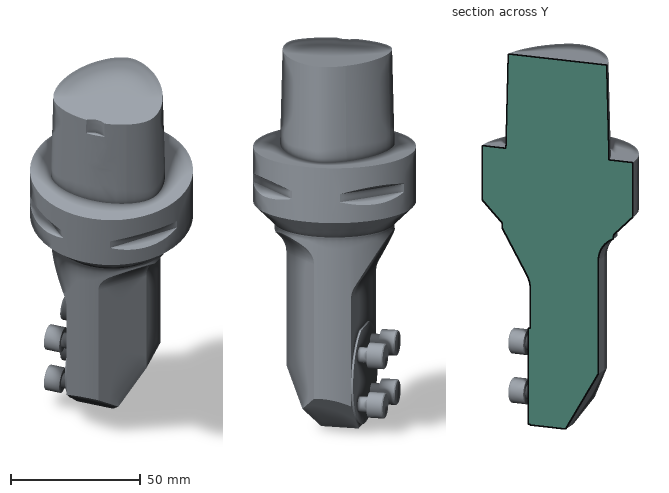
import math

import cadquery as cq


CUT_MARGIN = 1.0

SHANK_LENGTH = 38.0
SHANK_DIAMETER = 44.2
SHANK_LOBE_RISE = 1.6
SHANK_TAPER = 1 / 20
LOBE_HALF_ANGLE = 37.5
POINTS_PER_FACE = 9
LOBE_COUNT = 3
LOBE_DIRECTION = 90.0
LOBE_PITCH = 360 / LOBE_COUNT

NOTCH_RADIUS = 6.0
NOTCH_HEIGHT = 6.4
NOTCH_BOTTOM_Y = -18.1

FLANGE_DIAMETER = 63.0
FLANGE_HEIGHT = 22.0
NECK_DIAMETER = 46.5
COLLAR_DIAMETER = 47.0
COLLAR_HEIGHT = 0.4
CONE_HEIGHT = (FLANGE_DIAMETER - COLLAR_DIAMETER) / 2
CONE_BOTTOM_Z = -FLANGE_HEIGHT - CONE_HEIGHT
NECK_TOP_Z = CONE_BOTTOM_Z - COLLAR_HEIGHT
PART_BOTTOM_Z = -110.3

GROOVE_COUNT = 4
GROOVE_FIRST_ANGLE = 45.0
GROOVE_Z = -12.0
GROOVE_FLOOR_DISTANCE = 28.0
GROOVE_FLOOR_WIDTH = 3.2
GROOVE_WALL_ANGLE = 30.0

RELIEF_FILLET = 10.0
PLATE_FLAT_DISTANCE = 11.5
PLATE_FLAT_TOP_Z = -55.2
PLATE_FLAT_RUNOUT_ANGLE = 30.0
REAR_FLAT_TOP_Z = -41.1
REAR_FLAT_DISTANCE = 17.1
REAR_FLAT_RUNOUT_ANGLE = 60.0
DIAGONAL_FLAT_DISTANCE = 18.1
DIAGONAL_FLAT_RUNOUT_ANGLE = 45.0

TIP_HALF_WIDTH = 8.0
SIDE_BEVEL_ANGLE = 45.0
REAR_BEVEL_X = 3.4
REAR_BEVEL_ANGLE = 60.0

PLATE_DIAMETER = 40.0
PLATE_THICKNESS = 0.8
PLATE_CENTER_Z = -90.0
PLATE_TOP_Z = -71.2
SCREWS_PER_SIDE = 2
SCREW_SPACING = 19.8
SCREW_DIAMETER = 6.0
HEAD_DIAMETER = 10.0
HEAD_INNER_X = -16.3
HEAD_OUTER_X = -22.7
HEAD_CHAMFER = 0.4


def shank_point(angle, inset):
    """Point of the lobed outline whose outward normal lies at the given angle in degrees."""
    normal = math.radians(angle)
    phase = math.radians(LOBE_COUNT * (angle - LOBE_DIRECTION))
    support = SHANK_DIAMETER / 2 - inset + SHANK_LOBE_RISE * math.cos(phase)
    slope = -LOBE_COUNT * SHANK_LOBE_RISE * math.sin(phase)
    x = support * math.cos(normal) - slope * math.sin(normal)
    y = support * math.sin(normal) + slope * math.cos(normal)
    return x, y


def shank_outline(z, inset):
    """Closed outline of six smooth faces: three lobes and three flatter sides."""
    edges = []
    for lobe in range(LOBE_COUNT):
        tip = LOBE_DIRECTION + LOBE_PITCH * lobe
        seams = (tip - LOBE_HALF_ANGLE, tip + LOBE_HALF_ANGLE, tip + LOBE_PITCH - LOBE_HALF_ANGLE)
        for start, end in zip(seams, seams[1:]):
            step = (end - start) / (POINTS_PER_FACE - 1)
            points = [shank_point(start + step * i, inset) for i in range(POINTS_PER_FACE)]
            edges.append(cq.Edge.makeSpline([cq.Vector(x, y, z) for x, y in points]))
    return cq.Wire.assembleEdges(edges)


def make_shank():
    top_inset = SHANK_LENGTH * SHANK_TAPER / 2
    outlines = [shank_outline(0, 0), shank_outline(SHANK_LENGTH, top_inset)]
    shank = cq.Workplane(cq.Solid.makeLoft(outlines, True))
    notch = (
        cq.Workplane("XY", origin=(0, NOTCH_BOTTOM_Y - NOTCH_RADIUS, SHANK_LENGTH))
        .circle(NOTCH_RADIUS)
        .extrude(-NOTCH_HEIGHT)
    )
    return shank.cut(notch)


def make_flange_and_neck():
    flange_radius = FLANGE_DIAMETER / 2
    collar_radius = COLLAR_DIAMETER / 2
    neck_radius = NECK_DIAMETER / 2
    return (
        cq.Workplane("XZ")
        .moveTo(0, 0)
        .lineTo(flange_radius, 0)
        .lineTo(flange_radius, -FLANGE_HEIGHT)
        .lineTo(collar_radius, CONE_BOTTOM_Z)
        .lineTo(collar_radius, NECK_TOP_Z)
        .lineTo(neck_radius, NECK_TOP_Z)
        .lineTo(neck_radius, PART_BOTTOM_Z)
        .lineTo(0, PART_BOTTOM_Z)
        .close()
        .revolve(360, (0, 0, 0), (0, 1, 0))
    )


def make_gripper_groove(direction):
    """Trapezoidal groove cutter lying tangent to the flange."""
    reach = FLANGE_DIAMETER / 2 - GROOVE_FLOOR_DISTANCE + CUT_MARGIN
    half_floor = GROOVE_FLOOR_WIDTH / 2
    half_mouth = half_floor + reach * math.tan(math.radians(GROOVE_WALL_ANGLE))
    outer = GROOVE_FLOOR_DISTANCE + reach
    return (
        cq.Workplane("XZ")
        .moveTo(GROOVE_FLOOR_DISTANCE, GROOVE_Z - half_floor)
        .lineTo(outer, GROOVE_Z - half_mouth)
        .lineTo(outer, GROOVE_Z + half_mouth)
        .lineTo(GROOVE_FLOOR_DISTANCE, GROOVE_Z + half_floor)
        .close()
        .extrude(FLANGE_DIAMETER / 2, both=True)
        .rotate((0, 0, 0), (0, 0, 1), direction)
    )


def make_flat_cutter(distance, flat_top_z, runout_angle, direction):
    """Cutter for a flat that runs out of the neck through a fillet and a slope."""
    angle = math.radians(runout_angle)
    fillet_end = (
        distance + RELIEF_FILLET * (1 - math.cos(angle)),
        flat_top_z + RELIEF_FILLET * math.sin(angle),
    )
    fillet_middle = (
        distance + RELIEF_FILLET * (1 - math.cos(angle / 2)),
        flat_top_z + RELIEF_FILLET * math.sin(angle / 2),
    )
    outer = NECK_DIAMETER / 2 + CUT_MARGIN
    slope_end_z = fillet_end[1] + (outer - fillet_end[0]) / math.tan(angle)
    return (
        cq.Workplane("XZ")
        .moveTo(distance, PART_BOTTOM_Z)
        .lineTo(distance, flat_top_z)
        .threePointArc(fillet_middle, fillet_end)
        .lineTo(outer, slope_end_z)
        .lineTo(outer, PART_BOTTOM_Z)
        .close()
        .extrude(NECK_DIAMETER, both=True)
        .rotate((0, 0, 0), (0, 0, 1), direction)
    )


def make_end_bevel(inner, bevel_angle, direction):
    """Wedge cutter that bevels the lower end, rising at the bevel angle from horizontal."""
    outer = NECK_DIAMETER / 2 + CUT_MARGIN
    rise = (outer - inner) * math.tan(math.radians(bevel_angle))
    return (
        cq.Workplane("XZ")
        .moveTo(inner, PART_BOTTOM_Z)
        .lineTo(outer, PART_BOTTOM_Z + rise)
        .lineTo(outer, PART_BOTTOM_Z)
        .close()
        .extrude(NECK_DIAMETER, both=True)
        .rotate((0, 0, 0), (0, 0, 1), direction)
    )


def make_plate():
    """Thin round plate with a straight upper edge, standing on the flat that faces -X."""
    bottom_z = PLATE_CENTER_Z - PLATE_DIAMETER / 2
    height = PLATE_TOP_Z - bottom_z
    disc = (
        cq.Workplane("YZ", origin=(-PLATE_FLAT_DISTANCE, 0, PLATE_CENTER_Z))
        .circle(PLATE_DIAMETER / 2)
        .extrude(-PLATE_THICKNESS)
    )
    keep = cq.Workplane("XY", origin=(-PLATE_FLAT_DISTANCE, 0, bottom_z)).box(
        PLATE_DIAMETER, PLATE_DIAMETER, height, centered=(True, True, False)
    )
    return disc.intersect(keep)


def make_screws():
    shanks = (
        cq.Workplane("YZ", origin=(-PLATE_FLAT_DISTANCE, 0, PLATE_CENTER_Z))
        .rarray(SCREW_SPACING, SCREW_SPACING, SCREWS_PER_SIDE, SCREWS_PER_SIDE)
        .circle(SCREW_DIAMETER / 2)
        .extrude(HEAD_INNER_X + PLATE_FLAT_DISTANCE)
    )
    heads = (
        cq.Workplane("YZ", origin=(HEAD_INNER_X, 0, PLATE_CENTER_Z))
        .rarray(SCREW_SPACING, SCREW_SPACING, SCREWS_PER_SIDE, SCREWS_PER_SIDE)
        .circle(HEAD_DIAMETER / 2)
        .extrude(HEAD_OUTER_X - HEAD_INNER_X)
        .faces("<X")
        .chamfer(HEAD_CHAMFER)
    )
    return shanks.union(heads)


body = make_flange_and_neck()

for i in range(GROOVE_COUNT):
    body = body.cut(make_gripper_groove(GROOVE_FIRST_ANGLE + i * 360 / GROOVE_COUNT))

body = body.cut(make_flat_cutter(PLATE_FLAT_DISTANCE, PLATE_FLAT_TOP_Z, PLATE_FLAT_RUNOUT_ANGLE, 180))
for diagonal in (-45, 45):
    body = body.cut(
        make_flat_cutter(DIAGONAL_FLAT_DISTANCE, REAR_FLAT_TOP_Z, DIAGONAL_FLAT_RUNOUT_ANGLE, diagonal)
    )
body = body.cut(make_flat_cutter(REAR_FLAT_DISTANCE, REAR_FLAT_TOP_Z, REAR_FLAT_RUNOUT_ANGLE, 0))

for side in (-90, 90):
    body = body.cut(make_end_bevel(TIP_HALF_WIDTH, SIDE_BEVEL_ANGLE, side))
body = body.cut(make_end_bevel(REAR_BEVEL_X, REAR_BEVEL_ANGLE, 0))

result = body.union(make_shank()).union(make_plate()).union(make_screws())